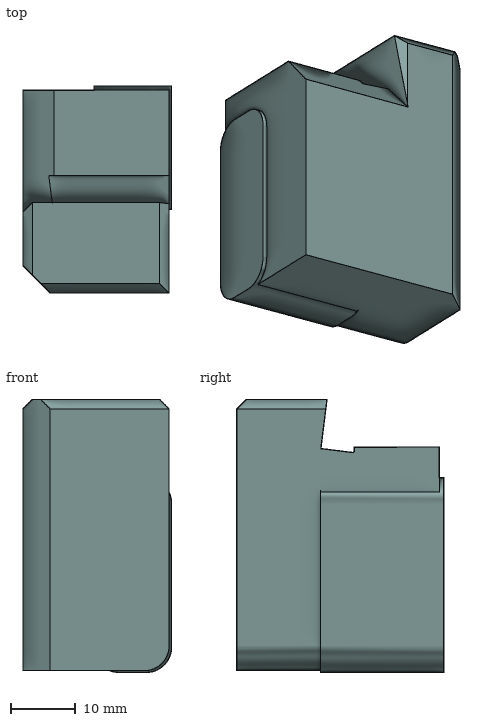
import cadquery as cq
import math

block_width = 22.58
block_depth = 31.3
block_bottom = 0.3
block_top = 42.2
bottom_round = 3.8
top_chamfer = 1.48
corner_chamfer = 4.2

shelf_back_height = 34.85
shelf_tilt = 0.2
shelf_chamfer = 4.85

wall_lean = 7.1
wall_top_y = 13.95
groove_back_y = 18.15
groove_back_height = 33.95
groove_round = 0.2

pad_width = 12.03
pad_height = 30.1
pad_depth = 19.07
pad_round = 4.0
pad_right = 23.0
pad_back = 32.0

lean_slope = math.tan(math.radians(wall_lean))
tilt_slope = math.tan(math.radians(shelf_tilt))


def wall_y(z):
    """Position of the leaning wall at height z."""
    return wall_top_y - (block_top - z) * lean_slope


def make_blank():
    """Rounded and chamfered block before the shelf is cut."""
    blank = (
        cq.Workplane("XY", origin=(0, 0, block_bottom))
        .box(block_width, block_depth, block_top - block_bottom, centered=False)
    )
    blank = blank.edges("|Y and >X and <Z").fillet(bottom_round)
    blank = blank.faces(">Z").edges("<X or >X or <Y").chamfer(top_chamfer)
    corner = (
        cq.Workplane("XY")
        .polyline([(0, 0), (corner_chamfer, 0), (0, corner_chamfer)])
        .close()
        .extrude(block_top)
    )
    return blank.cut(corner)


def make_head_space():
    """Space in front of the leaning wall, with its left vertical edge bevelled."""
    space = (
        cq.Workplane("YZ")
        .polyline([(0, 0), (wall_y(0), 0), (wall_top_y, block_top), (0, block_top)])
        .close()
        .extrude(block_width)
    )
    bevel_start = wall_top_y - top_chamfer
    bevel = (
        cq.Workplane("XY")
        .polyline([(0, bevel_start), (top_chamfer, wall_top_y), (0, wall_top_y)])
        .close()
        .extrude(block_top)
    )
    return space.cut(bevel)


def make_shelf_space():
    """Space below the tilted shelf, its side chamfer and the groove."""
    front_height = shelf_back_height - block_depth * tilt_slope
    space = (
        cq.Workplane("YZ")
        .polyline([(0, 0), (block_depth, 0), (block_depth, shelf_back_height), (0, front_height)])
        .close()
        .extrude(block_width)
    )
    return space.faces(">Z").edges("<X").chamfer(shelf_chamfer).cut(make_groove())


def make_groove():
    """Groove running along X between the shelf and the leaning wall."""
    front_height = groove_back_height + groove_back_y * lean_slope
    groove = (
        cq.Workplane("YZ")
        .polyline([
            (0, front_height),
            (groove_back_y, groove_back_height),
            (groove_back_y, block_top),
            (0, block_top),
        ])
        .close()
        .extrude(block_width)
    )
    return groove.edges("|X and >Y and <Z").fillet(groove_round)


def make_pad():
    """Upright pad with four rounded corners."""
    return (
        cq.Workplane("XZ", origin=(pad_right - pad_width / 2, pad_back, pad_height / 2))
        .rect(pad_width, pad_height)
        .extrude(pad_depth)
        .edges("|Y")
        .fillet(pad_round)
    )


def make_block(pad):
    """Head and shelf as one body, with a pocket that fits the pad."""
    blank = make_blank()
    head = blank.intersect(make_head_space())
    shelf = blank.intersect(make_shelf_space())
    return head.union(shelf).cut(pad)


pad = make_pad()
block = make_block(pad)
result = cq.Compound.makeCompound([block.val(), pad.val()])